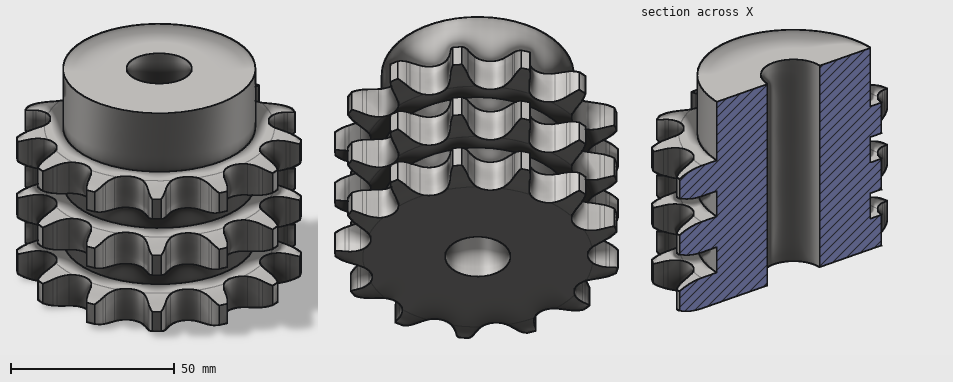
import cadquery as cq
import math


TEETH = 13
CHAIN_PITCH = 19.05
ROLLER_DIAMETER = 12.07
ROWS = 3
ROW_SPACING = 19.46

TOOTH_WIDTH = 10.8
TIP_RADIUS = 87.5 / 2
SIDE_RELIEF_RADIUS = 19.0
SIDE_RELIEF_DEPTH = 2.0

HUB_DIAMETER = 59.0
BORE_DIAMETER = 20.0
OVERALL_HEIGHT = 70.0

CUTTER_OVERSHOOT = 1.0

HALF_TOOTH_ANGLE = math.pi / TEETH
PITCH_RADIUS = CHAIN_PITCH / 2 / math.sin(HALF_TOOTH_ANGLE)
SEATING_CLEARANCE = 0.0762
SEATING_RADIUS = (1.005 * ROLLER_DIAMETER + SEATING_CLEARANCE) / 2
SEATING_ANGLE = math.radians(35 + 60 / TEETH)
WORKING_ANGLE = math.radians(18 - 56 / TEETH)
WORKING_CENTER_DISTANCE = 0.8 * ROLLER_DIAMETER
WORKING_RADIUS = SEATING_RADIUS + WORKING_CENTER_DISTANCE
TOPPING_CENTER_DISTANCE = 1.4 * ROLLER_DIAMETER


def polar(center, radius, angle):
    """Point at a radius and angle (from +X, in radians) around a centre."""
    return (center[0] + radius * math.cos(angle), center[1] + radius * math.sin(angle))


def mirrored(point):
    """Point reflected across the gap centreline (the Y axis)."""
    return (-point[0], point[1])


def gap_outline():
    """Closed outline of one tooth gap, centred on +Y."""
    roller_center = (0, PITCH_RADIUS)
    working_center = polar(roller_center, WORKING_CENTER_DISTANCE, math.pi - SEATING_ANGLE)
    topping_center = polar(roller_center, TOPPING_CENTER_DISTANCE, -HALF_TOOTH_ANGLE)

    root = (0, PITCH_RADIUS - SEATING_RADIUS)
    seating_end = polar(roller_center, SEATING_RADIUS, -SEATING_ANGLE)
    working_mid = polar(working_center, WORKING_RADIUS, WORKING_ANGLE / 2 - SEATING_ANGLE)
    flank_normal = WORKING_ANGLE - SEATING_ANGLE
    working_end = polar(working_center, WORKING_RADIUS, flank_normal)

    offset_x = topping_center[0] - working_end[0]
    offset_y = topping_center[1] - working_end[1]
    topping_radius = offset_x * math.cos(flank_normal) + offset_y * math.sin(flank_normal)
    topping_start_angle = math.pi + flank_normal
    topping_start = polar(topping_center, topping_radius, topping_start_angle)
    topping_rise = TIP_RADIUS + CUTTER_OVERSHOOT - topping_center[1]
    topping_end_angle = math.pi - math.asin(topping_rise / topping_radius)
    topping_mid_angle = (topping_start_angle + topping_end_angle) / 2
    topping_mid = polar(topping_center, topping_radius, topping_mid_angle)
    topping_end = polar(topping_center, topping_radius, topping_end_angle)

    return (
        cq.Workplane("XY")
        .moveTo(*mirrored(seating_end))
        .threePointArc(root, seating_end)
        .threePointArc(working_mid, working_end)
        .lineTo(*topping_start)
        .threePointArc(topping_mid, topping_end)
        .lineTo(*mirrored(topping_end))
        .threePointArc(mirrored(topping_mid), mirrored(topping_start))
        .lineTo(*mirrored(working_end))
        .threePointArc(mirrored(working_mid), mirrored(seating_end))
        .close()
    )


def disc_blank():
    """Toothless disc whose rim is rounded by arcs tangent to both side faces."""
    relief_angle = math.acos(1 - SIDE_RELIEF_DEPTH / SIDE_RELIEF_RADIUS)
    face_radius = TIP_RADIUS - SIDE_RELIEF_RADIUS * math.sin(relief_angle)
    bottom_center = (face_radius, SIDE_RELIEF_RADIUS)
    top_center = (face_radius, TOOTH_WIDTH - SIDE_RELIEF_RADIUS)
    mid_angle = (math.pi - relief_angle) / 2
    return (
        cq.Workplane("XZ")
        .lineTo(face_radius, 0)
        .threePointArc(
            polar(bottom_center, SIDE_RELIEF_RADIUS, -mid_angle),
            (TIP_RADIUS, SIDE_RELIEF_DEPTH),
        )
        .lineTo(TIP_RADIUS, TOOTH_WIDTH - SIDE_RELIEF_DEPTH)
        .threePointArc(
            polar(top_center, SIDE_RELIEF_RADIUS, mid_angle),
            (face_radius, TOOTH_WIDTH),
        )
        .lineTo(0, TOOTH_WIDTH)
        .close()
        .revolve(360, (0, 0, 0), (0, 1, 0))
    )


def toothed_disc():
    """One row of teeth."""
    disc = disc_blank()
    gap = gap_outline().extrude(TOOTH_WIDTH)
    for index in range(TEETH):
        disc = disc.cut(gap.rotate((0, 0, 0), (0, 0, 1), index * 360 / TEETH))
    return disc


def sprocket():
    """Hub with the rows of teeth and a through bore."""
    body = cq.Workplane("XY").circle(HUB_DIAMETER / 2).extrude(OVERALL_HEIGHT)
    disc = toothed_disc()
    for row in range(ROWS):
        body = body.union(disc.translate((0, 0, row * ROW_SPACING)))
    bore = cq.Workplane("XY").circle(BORE_DIAMETER / 2).extrude(OVERALL_HEIGHT)
    return body.cut(bore)


result = sprocket()